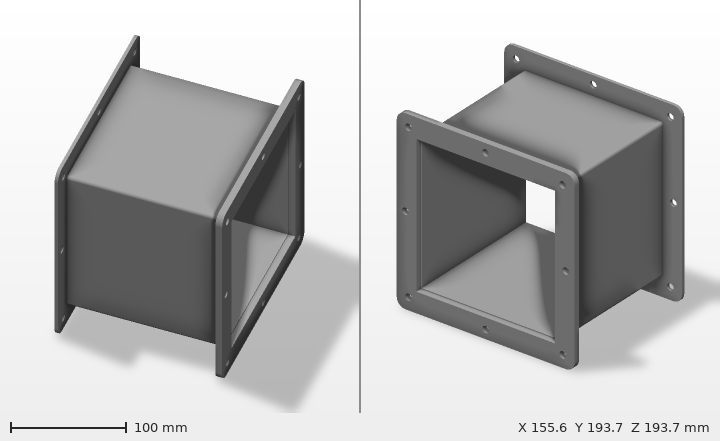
import cadquery as cq

duct_length = 146.05
duct_size = 152.4
duct_wall = 1.85
duct_outer_radius = 2.8

plate_size = 193.675
plate_thickness = 3.175
plate_corner_radius = 9.525
plate_opening = 150.8

hole_diameter = 7.14
corner_hole_offset = 84.0
side_hole_offset = 87.31

total_length = duct_length + 3 * plate_thickness
inlet_flange_x = -total_length / 2
duct_x = inlet_flange_x + plate_thickness
outlet_flange_x = duct_x + duct_length
backing_plate_x = outlet_flange_x + plate_thickness


def square_bar(start_x, size, length):
    """Solid square bar along +X, centred on the X axis."""
    return cq.Workplane("YZ", origin=(start_x, 0, 0)).rect(size, size).extrude(length)


def bolt_points():
    """Four corner holes and one hole midway along each side."""
    corner = corner_hole_offset
    side = side_hole_offset
    corners = [(y, z) for y in (-corner, corner) for z in (-corner, corner)]
    sides = [(-side, 0), (side, 0), (0, -side), (0, side)]
    return corners + sides


def make_plate(start_x):
    """Square frame with rounded outer corners, a square opening and bolt holes."""
    blank = square_bar(start_x, plate_size, plate_thickness).edges("|X").fillet(plate_corner_radius)
    frame = blank.cut(square_bar(start_x, plate_opening, plate_thickness))
    holes = (
        cq.Workplane("YZ", origin=(start_x, 0, 0))
        .pushPoints(bolt_points())
        .circle(hole_diameter / 2)
        .extrude(plate_thickness)
    )
    return frame.cut(holes)


def make_duct():
    """Thin square tube with rounded outer corners and a sharp-cornered bore, fitted between the flanges."""
    outside = square_bar(duct_x, duct_size, duct_length).edges("|X").fillet(duct_outer_radius)
    bore_size = duct_size - 2 * duct_wall
    bore = square_bar(duct_x, bore_size, duct_length)
    return outside.cut(bore)


duct = make_duct()
plates = [make_plate(x) for x in (inlet_flange_x, outlet_flange_x, backing_plate_x)]

result = cq.Compound.makeCompound([duct.val(), *[plate.val() for plate in plates]])